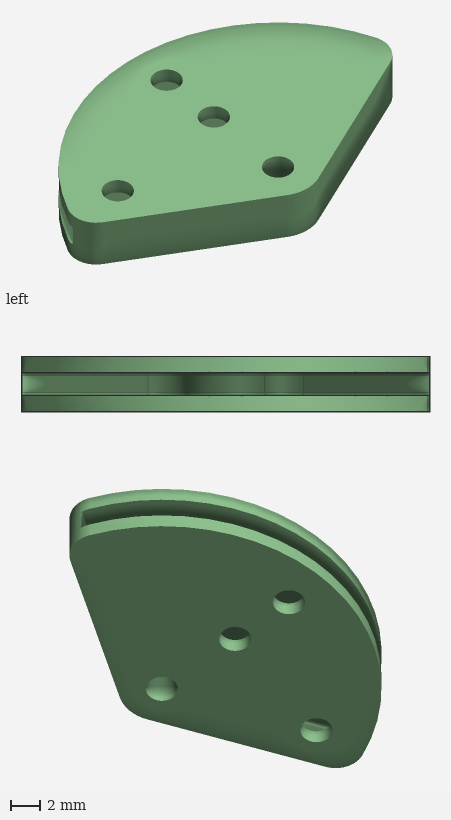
import cadquery as cq
import math

thickness = 3.8
rim_radius = 15.02
nose_radius = 3.0
corner_radius = 2.0
half_width = 13.95
hole_diameter = 2.2
inner_hole_x = -6.8
outer_hole_x = -11.8
side_hole_x = -5.2
side_hole_y = -9.95

slot_height = 1.6
slot_wall = 1.15
slot_boss_radius = 3.05
slot_blend_radius = 2.0
slot_edge_fillet = 0.22
slot_overrun = 2.8

corner_y = half_width - corner_radius
corner_distance = rim_radius - corner_radius
corner_x = -math.sqrt(corner_distance**2 - corner_y**2)
corner_angle = math.atan2(corner_y, corner_x)

edge_angle = corner_angle - math.acos((nose_radius - corner_radius) / corner_distance)


def polar(radius, angle, center=(0, 0)):
    return (center[0] + radius * math.cos(angle), center[1] + radius * math.sin(angle))


def mirrored(point):
    return (point[0], -point[1])


def make_plate():
    corner = (corner_x, corner_y)
    nose_end = polar(nose_radius, edge_angle)
    corner_start = polar(corner_radius, edge_angle, corner)
    corner_middle = polar(corner_radius, (edge_angle + corner_angle) / 2, corner)
    rim_end = polar(rim_radius, corner_angle)
    return (
        cq.Workplane("XY")
        .workplane(offset=-thickness / 2)
        .moveTo(*nose_end)
        .lineTo(*corner_start)
        .threePointArc(corner_middle, rim_end)
        .threePointArc((-rim_radius, 0), mirrored(rim_end))
        .threePointArc(mirrored(corner_middle), mirrored(corner_start))
        .lineTo(*mirrored(nose_end))
        .threePointArc((nose_radius, 0), nose_end)
        .close()
        .extrude(thickness)
    )


def make_slot():
    wall_distance = nose_radius - slot_wall
    blend_distance = slot_boss_radius + slot_blend_radius
    blend_offset = wall_distance - slot_blend_radius
    blend_angle = edge_angle + math.acos(blend_offset / blend_distance)
    blend_center = polar(blend_distance, blend_angle)
    wall_start = polar(slot_blend_radius, edge_angle, blend_center)
    boss_end = polar(slot_boss_radius, blend_angle)
    blend_middle_angle = (edge_angle + blend_angle - math.pi) / 2
    blend_middle = polar(slot_blend_radius, blend_middle_angle, blend_center)
    reach_y = half_width + slot_overrun
    reach_x = -rim_radius - slot_overrun
    wall_end = (
        (wall_distance - reach_y * math.sin(edge_angle)) / math.cos(edge_angle),
        reach_y,
    )
    slot = (
        cq.Workplane("XY")
        .workplane(offset=-slot_height / 2)
        .moveTo(reach_x, reach_y)
        .lineTo(*wall_end)
        .lineTo(*wall_start)
        .threePointArc(blend_middle, boss_end)
        .threePointArc((-slot_boss_radius, 0), mirrored(boss_end))
        .threePointArc(mirrored(blend_middle), mirrored(wall_start))
        .lineTo(*mirrored(wall_end))
        .lineTo(reach_x, -reach_y)
        .close()
        .extrude(slot_height)
    )
    floor_zone = cq.selectors.BoxSelector(
        (-rim_radius, -half_width, -slot_height),
        (nose_radius, half_width, slot_height),
    )
    return slot.edges("#Z").edges(floor_zone).fillet(slot_edge_fillet)


def drill_holes(body):
    centers = [(0, 0), (inner_hole_x, 0), (outer_hole_x, 0), (side_hole_x, side_hole_y)]
    drills = (
        cq.Workplane("XY")
        .workplane(offset=-thickness / 2)
        .pushPoints(centers)
        .circle(hole_diameter / 2)
        .extrude(thickness)
    )
    return body.cut(drills)


result = drill_holes(make_plate().cut(make_slot()))